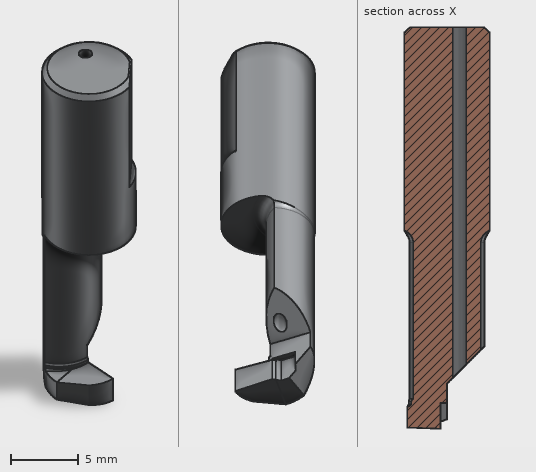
import cadquery as cq
import math

TOTAL_HEIGHT = 30.0
SHANK_DIAMETER = 7.0
SHANK_RADIUS = SHANK_DIAMETER / 2
SHANK_BOTTOM = 15.0
CHAMFER_WIDTH = 0.4
FLAT_DISTANCE = 3.1
FLAT_LENGTH = 9.9
FLAT_CHAMFER = 0.12
FLAT_DIRECTION = 45

NECK_ARC_RADIUS = 3.18
NECK_LEFT = -3.48
NECK_RIGHT = -0.18
LEFT_ARC_X = NECK_LEFT + NECK_ARC_RADIUS
RIGHT_ARC_X = NECK_RIGHT - NECK_ARC_RADIUS
ROOT_FILLET = 1.0

COLLAR_STEP = 0.12
COLLAR_TOP = 2.22
COLLAR_SLOPE_HEIGHT = 0.18
COLLAR_RADIUS = NECK_ARC_RADIUS + COLLAR_STEP
FOOT_STEP = 0.2
FOOT_TOP = 1.98
FOOT_RADIUS = COLLAR_RADIUS + FOOT_STEP

COOLANT_X = -1.45
COOLANT_Y = 0.93
COOLANT_DIAMETER = 1.0

RELIEF_START = 3.5
HEEL_HEIGHT = 2.13

TIP_X = 2.7
EDGE_HEIGHT = 2.07
CLEARANCE_ANGLE = 2.0
ARM_HEEL_X = (NECK_LEFT + NECK_RIGHT) / 2 + (FOOT_RADIUS**2 - NECK_ARC_RADIUS**2) / (
    2 * (LEFT_ARC_X - RIGHT_ARC_X)
)
ARM_HEEL_Y = -math.sqrt(NECK_ARC_RADIUS**2 - (ARM_HEEL_X - LEFT_ARC_X) ** 2)
ARM_HEEL_RADIUS = SHANK_RADIUS
ARM_FRONT_X = 0.05
ARM_FRONT_Y = -3.25
TIP_ARC_END_X = 2.0
TIP_ARC_END_Y = -math.sqrt(TIP_X**2 - TIP_ARC_END_X**2)

JOINT_REAR_X = -0.6

GROOVE_DEPTH = 0.48
GROOVE_LEFT = -2.22
GROOVE_FLOOR_LEFT = -2.05
GROOVE_FLOOR_RIGHT = -0.87
GROOVE_RIGHT = -0.33

OVERSIZE = 9.0
MARGIN = 0.3


def flat_cutter():
    """Block that cuts the clamping flat, with the small chamfer at its top end."""
    far = FLAT_DISTANCE + OVERSIZE
    profile = [
        (FLAT_DISTANCE, TOTAL_HEIGHT - FLAT_LENGTH),
        (far, TOTAL_HEIGHT - FLAT_LENGTH),
        (far, TOTAL_HEIGHT),
        (FLAT_DISTANCE - FLAT_CHAMFER, TOTAL_HEIGHT),
        (FLAT_DISTANCE, TOTAL_HEIGHT - FLAT_CHAMFER),
    ]
    block = cq.Workplane("XZ").polyline(profile).close().extrude(OVERSIZE, both=True)
    return block.rotate((0, 0, 0), (0, 0, 1), FLAT_DIRECTION)


def make_shank():
    """Round shank with a chamfered top and a clamping flat."""
    shank = cq.Workplane("XY", origin=(0, 0, SHANK_BOTTOM)).circle(SHANK_RADIUS)
    shank = shank.extrude(TOTAL_HEIGHT - SHANK_BOTTOM)
    return shank.faces(">Z").chamfer(CHAMFER_WIDTH).cut(flat_cutter())


def flared_post(axis_x, with_foot=False):
    """Round post about a vertical axis: root fillet on top, optional collar and wider foot."""
    fillet_start = SHANK_BOTTOM - ROOT_FILLET
    fillet_mid = (
        NECK_ARC_RADIUS + ROOT_FILLET * (1 - math.sqrt(0.5)),
        fillet_start + ROOT_FILLET * math.sqrt(0.5),
    )
    profile = cq.Workplane("XZ")
    if with_foot:
        profile = profile.lineTo(FOOT_RADIUS, 0).lineTo(FOOT_RADIUS, FOOT_TOP - FOOT_STEP)
        profile = profile.lineTo(COLLAR_RADIUS, FOOT_TOP).lineTo(COLLAR_RADIUS, COLLAR_TOP)
        profile = profile.lineTo(NECK_ARC_RADIUS, COLLAR_TOP + COLLAR_SLOPE_HEIGHT)
    else:
        profile = profile.lineTo(NECK_ARC_RADIUS, 0)
    profile = profile.lineTo(NECK_ARC_RADIUS, fillet_start)
    profile = profile.threePointArc(fillet_mid, (NECK_ARC_RADIUS + ROOT_FILLET, SHANK_BOTTOM))
    post = profile.lineTo(0, SHANK_BOTTOM).close().revolve(360, (0, 0, 0), (0, 1, 0))
    return post.translate((axis_x, 0, 0))


def make_neck():
    """Lens section kept inside the shank diameter, with the 45 degree relief behind y = 0."""
    envelope = cq.Workplane("XY").circle(SHANK_RADIUS).extrude(SHANK_BOTTOM)
    neck = flared_post(LEFT_ARC_X).intersect(flared_post(RIGHT_ARC_X, with_foot=True))
    relief = [
        (0, -MARGIN),
        (0, RELIEF_START),
        (OVERSIZE, RELIEF_START + OVERSIZE),
        (OVERSIZE, -MARGIN),
    ]
    relief_cutter = cq.Workplane("YZ").polyline(relief).close().extrude(OVERSIZE, both=True)
    return neck.intersect(envelope).cut(relief_cutter)


def clearance_wedge():
    """Slab between the top and bottom clearance faces, thickest at the tip in the plane y = 0."""
    slope = math.tan(math.radians(CLEARANCE_ANGLE))
    left = TIP_X - OVERSIZE
    right = TIP_X + OVERSIZE
    rise = OVERSIZE * slope
    section = [
        (left, rise),
        (right, -rise),
        (right, EDGE_HEIGHT + rise),
        (left, EDGE_HEIGHT - rise),
    ]
    slab = cq.Workplane("XZ").polyline(section).close()
    return slab.extrude(SHANK_DIAMETER, taper=CLEARANCE_ANGLE)


def arm_outline():
    """Plan outline of the arm; its left end lies inside the foot of the neck."""
    tip_arc_angle = math.atan2(TIP_ARC_END_Y, TIP_ARC_END_X) / 2
    tip_arc_mid = (TIP_X * math.cos(tip_arc_angle), TIP_X * math.sin(tip_arc_angle))
    return (
        cq.Workplane("XY", origin=(0, 0, -MARGIN))
        .moveTo(ARM_HEEL_X, 0)
        .lineTo(TIP_X, 0)
        .threePointArc(tip_arc_mid, (TIP_ARC_END_X, TIP_ARC_END_Y))
        .lineTo(ARM_FRONT_X, ARM_FRONT_Y)
        .radiusArc((ARM_HEEL_X, ARM_HEEL_Y), ARM_HEEL_RADIUS)
        .close()
    )


def make_arm():
    """Whole cutting arm, with clearance faces above and below."""
    return arm_outline().extrude(EDGE_HEIGHT + 2 * MARGIN).intersect(clearance_wedge())


def heel_cutter():
    """Removes the 45 degree heel on the left of the foot."""
    profile = [
        (NECK_LEFT, HEEL_HEIGHT),
        (NECK_LEFT + HEEL_HEIGHT + MARGIN, -MARGIN),
        (NECK_LEFT - MARGIN, -MARGIN),
        (NECK_LEFT - MARGIN, HEEL_HEIGHT + MARGIN),
    ]
    return cq.Workplane("XZ").polyline(profile).close().extrude(OVERSIZE, both=True)


def foot_cutter():
    """Removes neck material below the bottom clearance face."""
    below = cq.Workplane("XY").box(OVERSIZE * 2, OVERSIZE * 2, EDGE_HEIGHT, centered=(True, True, False))
    below = below.translate((0, 0, -EDGE_HEIGHT / 2))
    return below.cut(clearance_wedge())


def chip_groove():
    """Trapezoidal groove across the full height of the rake plane."""
    profile = [
        (GROOVE_LEFT, 0),
        (GROOVE_FLOOR_LEFT, -GROOVE_DEPTH),
        (GROOVE_FLOOR_RIGHT, -GROOVE_DEPTH),
        (GROOVE_RIGHT, 0),
    ]
    return cq.Workplane("XY").polyline(profile).close().extrude(EDGE_HEIGHT)


def joint_region():
    """Everything on the tip side of the joint plane, up to the top of the arm."""
    region = [
        (JOINT_REAR_X, 0),
        (ARM_FRONT_X, ARM_FRONT_Y),
        (ARM_FRONT_X, -OVERSIZE),
        (OVERSIZE, -OVERSIZE),
        (OVERSIZE, 0),
    ]
    return cq.Workplane("XY").polyline(region).close().extrude(EDGE_HEIGHT)


def coolant_hole():
    hole = cq.Workplane("XY").center(COOLANT_X, COOLANT_Y).circle(COOLANT_DIAMETER / 2)
    return hole.extrude(TOTAL_HEIGHT)


def make_tip():
    """Cutting tip: the outer part of the arm."""
    return make_arm().intersect(joint_region()).cut(chip_groove())


def make_bar(tip):
    """Bar: shank, neck and the inner part of the arm that carries the tip."""
    neck = make_neck().cut(foot_cutter()).union(make_arm())
    neck = neck.cut(heel_cutter()).cut(chip_groove())
    return make_shank().union(neck).cut(coolant_hole()).cut(tip)


tip = make_tip()
bar = make_bar(tip)

result = cq.Compound.makeCompound([bar.val(), tip.val()])